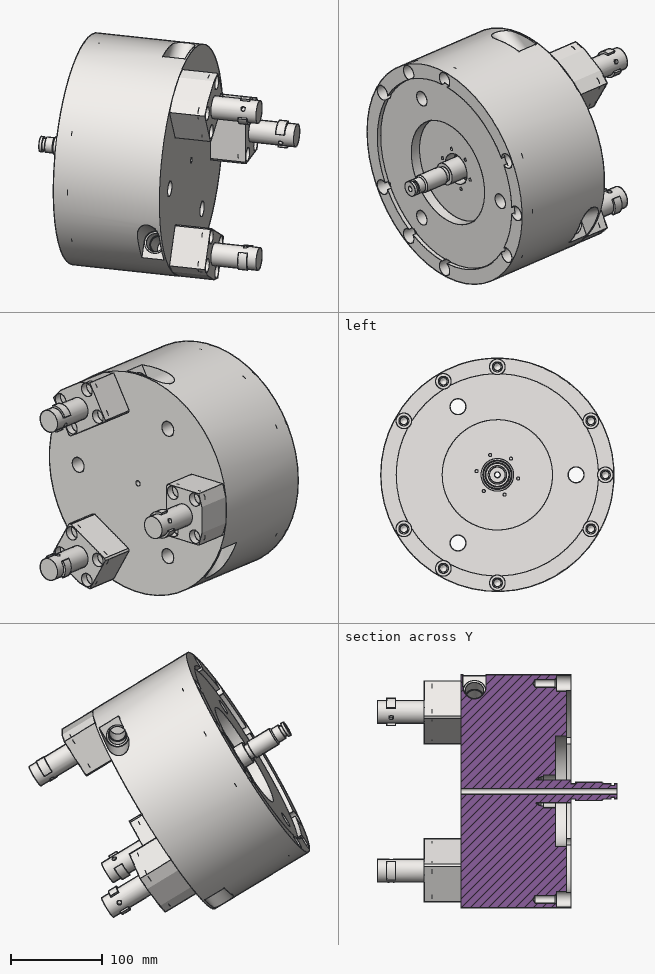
import cadquery as cq
import math


BODY_DIA = 254.0
BODY_LENGTH = 120.0
COVER_RECESS_DIA = 220.0
COVER_RECESS_DEPTH = 5.0
HUB_RECESS_DIA = 120.0
HUB_RECESS_DEPTH = 17.0

SEAL_BORE_STEPS = [(35.5, 13.0), (31.8, 15.7), (30.0, 18.3), (26.5, 21.0)]

BOLT_CIRCLE_RADIUS = 117.5
BOLT_SPACING = 30
BOLT_HEAD_DIA = 17.0
BOLT_HEAD_DEPTH = 16.0
BOLT_HOLE_DIA = 8.0
BOLT_HOLE_DEPTH = 39.2
BOLT_COUNTERSINK_DIA = 11.0
DRILL_POINT_ANGLE = 118
THROUGH_HOLE_DIA = 17.0
THROUGH_HOLE_RADIUS = 85.5
PIN_HOLE_DIA = 3.5
PIN_HOLE_RADIUS = 23.0
PIN_HOLE_DEPTH = 6.8
PIN_HOLE_COUNT = 6
PIN_HOLE_FIRST_ANGLE = 10

SHAFT_LENGTH = 50.0
SHAFT_DIA = 20.0
JOURNAL_DIA = 17.0
RING_GROOVE_DIA = 13.0
RING_GROOVE_START = 3.1
RING_GROOVE_END = 6.5
SHOULDER_START = 15.1
SHAFT_END = 45.2
COLLAR_DIA = 25.0
COLLAR_END = 60.0
SHAFT_BORE_DIA = 6.0

STATION_ANGLES = [0, 120, 240]
STATION_RADIUS = 99.7

BLOCK_LENGTH = 40.0
BLOCK_HALF_WIDTH = 30.0
BLOCK_INNER_RADIUS = 75.5
BLOCK_INNER_HALF_WIDTH = 27.7
BLOCK_INNER_SIDE_RADIUS = 77.0
BLOCK_OUTER_RADIUS = 125.8
BLOCK_OUTER_HALF_WIDTH = 15.1
BLOCK_OUTER_SIDE_RADIUS = 121.4
BLOCK_SCREW_DIA = 15.1
BLOCK_SCREW_DEPTH = 8.5
BLOCK_SCREW_RADIAL_PITCH = 31.5
BLOCK_SCREW_SIDE_PITCH = 43.3

CONNECTOR_LENGTH = 51.0
CONNECTOR_DIA = 25.0
LUG_DIA = 30.0
LUG_WIDTH = 10.0
LUG_END_GAP = 10.2
LUG_SPAN = 84
LUG_ANGLES = [120, 300]
SIDE_HOLE_DIA = 5.0
SIDE_HOLE_DEPTH = 4.0
SIDE_HOLE_ANGLES = [30, 210]

PORT_BACK_DISTANCE = 15.0
PORT_WIDTH = 25.0
PORT_FLOOR = 47.5
PORT_MOUTH_DIA = 24.0
PORT_MOUTH_DEPTH = 0.8
PORT_DIA = 20.0
PORT_DEPTH = 15.7
PORT_INNER_DIA = 18.0

BODY_RADIUS = BODY_DIA / 2
BLOCK_END = BODY_LENGTH + BLOCK_LENGTH


def x_cylinder(start, end, dia, y=0, z=0):
    """Cylinder along X from start to end."""
    return cq.Workplane("YZ", origin=(start, y, z)).circle(dia / 2).extrude(end - start)


def turn(shape, angle):
    """Rotate a shape about the main axis."""
    return shape.rotate((0, 0, 0), (1, 0, 0), angle)


def polar(radius, angle):
    """Y and Z of a point at a radius and angle around the main axis."""
    a = math.radians(angle)
    return radius * math.cos(a), radius * math.sin(a)


def make_body():
    body = x_cylinder(0, BODY_LENGTH, BODY_DIA)
    body = body.cut(x_cylinder(0, COVER_RECESS_DEPTH, COVER_RECESS_DIA))
    body = body.cut(x_cylinder(0, HUB_RECESS_DEPTH, HUB_RECESS_DIA))
    for dia, depth in SEAL_BORE_STEPS:
        body = body.cut(x_cylinder(0, HUB_RECESS_DEPTH + depth, dia))
    return body


def make_bolt_hole():
    """Counterbored and countersunk blind hole with a drill point, on the main axis."""
    head = BOLT_HEAD_DIA / 2
    sink = BOLT_COUNTERSINK_DIA / 2
    hole = BOLT_HOLE_DIA / 2
    sink_end = BOLT_HEAD_DEPTH + sink - hole
    point = hole / math.tan(math.radians(DRILL_POINT_ANGLE / 2))
    outline = [
        (0, 0),
        (0, head),
        (BOLT_HEAD_DEPTH, head),
        (BOLT_HEAD_DEPTH, sink),
        (sink_end, hole),
        (BOLT_HOLE_DEPTH, hole),
        (BOLT_HOLE_DEPTH + point, 0),
    ]
    return cq.Workplane("XY").polyline(outline).close().revolve(360, (0, 0, 0), (1, 0, 0))


def cut_front_holes(body):
    bolt_hole = make_bolt_hole().translate((0, BOLT_CIRCLE_RADIUS, 0))
    for angle in range(0, 360, BOLT_SPACING):
        if angle not in STATION_ANGLES:
            body = body.cut(turn(bolt_hole, angle))
    for angle in STATION_ANGLES:
        y, z = polar(THROUGH_HOLE_RADIUS, angle + 180)
        body = body.cut(x_cylinder(0, BODY_LENGTH, THROUGH_HOLE_DIA, y, z))
    for i in range(PIN_HOLE_COUNT):
        y, z = polar(PIN_HOLE_RADIUS, PIN_HOLE_FIRST_ANGLE + i * 360 / PIN_HOLE_COUNT)
        body = body.cut(x_cylinder(0, HUB_RECESS_DEPTH + PIN_HOLE_DEPTH, PIN_HOLE_DIA, y, z))
    return body


def make_shaft():
    """Stepped shaft whose collar starts level with the body's front face and runs into the body."""
    tip = -SHAFT_LENGTH
    shaft_radius = SHAFT_DIA / 2
    journal = JOURNAL_DIA / 2
    groove = RING_GROOVE_DIA / 2
    collar = COLLAR_DIA / 2
    shoulder = tip + SHOULDER_START
    outline = [
        (tip, 0),
        (tip, journal),
        (tip + RING_GROOVE_START, journal),
        (tip + RING_GROOVE_START, groove),
        (tip + RING_GROOVE_END, groove),
        (tip + RING_GROOVE_END, journal),
        (shoulder, journal),
        (shoulder + shaft_radius - journal, shaft_radius),
        (tip + SHAFT_END, shaft_radius),
        (tip + SHAFT_END, journal),
        (0, journal),
        (0, collar),
        (COLLAR_END, collar),
        (COLLAR_END, 0),
    ]
    return cq.Workplane("XY").polyline(outline).close().revolve(360, (0, 0, 0), (1, 0, 0))


def make_block():
    """Eight-sided block behind the body at the +Y station, with a screw recess in each corner."""
    half_outline = [
        (BLOCK_INNER_RADIUS, BLOCK_INNER_HALF_WIDTH),
        (BLOCK_INNER_SIDE_RADIUS, BLOCK_HALF_WIDTH),
        (BLOCK_OUTER_SIDE_RADIUS, BLOCK_HALF_WIDTH),
        (BLOCK_OUTER_RADIUS, BLOCK_OUTER_HALF_WIDTH),
    ]
    mirrored = [(y, -z) for y, z in reversed(half_outline)]
    block = cq.Workplane("YZ", origin=(BODY_LENGTH, 0, 0))
    block = block.polyline(half_outline + mirrored).close().extrude(BLOCK_LENGTH)
    screws = (
        cq.Workplane("YZ", origin=(BLOCK_END - BLOCK_SCREW_DEPTH, STATION_RADIUS, 0))
        .rarray(BLOCK_SCREW_RADIAL_PITCH, BLOCK_SCREW_SIDE_PITCH, 2, 2)
        .circle(BLOCK_SCREW_DIA / 2)
        .extrude(BLOCK_SCREW_DEPTH)
    )
    return block.cut(screws)


def make_lug(angle):
    """Ring segment around the X axis, centred on an angle."""
    outer = LUG_DIA / 2
    first = angle - LUG_SPAN / 2
    last = angle + LUG_SPAN / 2
    lug_start = BLOCK_END + CONNECTOR_LENGTH - LUG_END_GAP - LUG_WIDTH
    return (
        cq.Workplane("YZ", origin=(lug_start, 0, 0))
        .lineTo(*polar(outer, first))
        .threePointArc(polar(outer, angle), polar(outer, last))
        .close()
        .extrude(LUG_WIDTH)
    )


def make_connector():
    """Round connector with two lugs and two side holes, at the +Y station."""
    end = BLOCK_END + CONNECTOR_LENGTH
    radius = CONNECTOR_DIA / 2
    connector = x_cylinder(BLOCK_END, end, CONNECTOR_DIA)
    for angle in LUG_ANGLES:
        connector = connector.union(make_lug(angle))
    hole_x = end - LUG_END_GAP - LUG_WIDTH / 2
    side_hole = (
        cq.Workplane("XZ", origin=(hole_x, radius, 0)).circle(SIDE_HOLE_DIA / 2).extrude(SIDE_HOLE_DEPTH)
    )
    for angle in SIDE_HOLE_ANGLES:
        connector = connector.cut(turn(side_hole, angle))
    return connector.translate((0, STATION_RADIUS, 0))


def make_port():
    """Cutter for the U-shaped recess in the body's side and the stepped hole in its flat floor."""
    x = BODY_LENGTH - PORT_BACK_DISTANCE
    floor = cq.Workplane("XY", origin=(x, STATION_RADIUS, -PORT_FLOOR))
    recess_depth = BODY_RADIUS - PORT_FLOOR
    open_length = BODY_RADIUS - STATION_RADIUS
    recess = floor.circle(PORT_WIDTH / 2).extrude(-recess_depth)
    opening = floor.center(0, open_length / 2).rect(PORT_WIDTH, open_length).extrude(-recess_depth)
    mouth = floor.circle(PORT_MOUTH_DIA / 2).workplane(offset=PORT_MOUTH_DEPTH).circle(PORT_DIA / 2).loft()
    hole = floor.circle(PORT_DIA / 2).extrude(PORT_DEPTH)
    inner_hole = floor.circle(PORT_INNER_DIA / 2).extrude(PORT_FLOOR)
    return recess.union(opening).union(mouth).union(hole).union(inner_hole)


body = cut_front_holes(make_body())
port = make_port()
station = make_block().union(make_connector())
for station_angle in STATION_ANGLES:
    body = body.cut(turn(port, station_angle))
    body = body.union(turn(station, station_angle))
body = body.union(make_shaft())
result = body.cut(x_cylinder(-SHAFT_LENGTH, BODY_LENGTH, SHAFT_BORE_DIA))